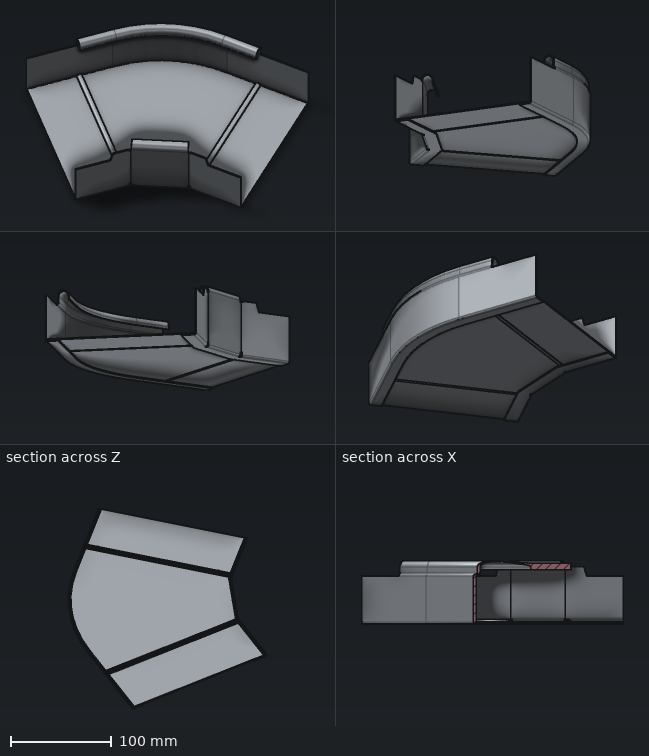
import cadquery as cq
import math


LENGTH_Y = 260.2
BEND_ANGLE = 45.0
OUTER_RADIUS = 150.2
TRAY_WIDTH = 153.3
SHEET = 1.25
FOLD_RADIUS = 2.5

WALL_HEIGHT = 48.0
OVERALL_HEIGHT = 63.0
OUTER_FLANGE = 13.3
INNER_FLANGE = 15.0

ROLL_RADIUS = 6.0
LIP_DROP = 3.0
RIM_INSET = 1.5
JOGGLE_HEIGHT = 3.0
RIM_SETBACK = 52.0

INNER_ARM = 57.5
TAB_FOOT = 36.5
TAB_SHOULDER = 39.3
RIM_GAP = 0.8
LOWER_NOTCH_SIDE = 1.0
LOWER_NOTCH_HEIGHT = 4.7
UPPER_NOTCH_SIDE = 1.5
UPPER_NOTCH_DEPTH = 1.3

BEAD_WIDTH = 5.7
BEAD_HEIGHT = 2.0

SIN_BEND = math.sin(math.radians(BEND_ANGLE))
ARM_LENGTH = (LENGTH_Y - OUTER_RADIUS * SIN_BEND) / (1 + SIN_BEND)
ROLL_Z = OVERALL_HEIGHT - ROLL_RADIUS
INNER_FACE_X = TRAY_WIDTH - OUTER_RADIUS
PANEL_CORNER = (INNER_FACE_X, INNER_ARM - ARM_LENGTH)
PANEL_TURN = math.radians(BEND_ANGLE / 2)
MIRROR_ANGLE = math.radians(180 - BEND_ANGLE / 2)
MIRROR_NORMAL = (math.sin(MIRROR_ANGLE), -math.cos(MIRROR_ANGLE), 0)


def mirrored(point):
    """Reflect a plan point in the symmetry line of the bend."""
    x, y = point
    cos2 = math.cos(2 * MIRROR_ANGLE)
    sin2 = math.sin(2 * MIRROR_ANGLE)
    return (x * cos2 + y * sin2, x * sin2 - y * cos2)


def on_symmetry_line(radius):
    return (radius * math.cos(MIRROR_ANGLE), radius * math.sin(MIRROR_ANGLE))


def section_plane(point, inward):
    """Upright plane whose local x runs into the tray from a wall's outer face; local y is Z."""
    inward = cq.Vector(*inward, 0)
    return cq.Workplane(cq.Plane((*point, 0), inward, inward.cross(cq.Vector(0, 0, 1))))


def wall_section(plane, flange, height):
    """Upright wall folded into a bottom flange."""
    inside = FOLD_RADIUS - SHEET
    return (
        plane.moveTo(flange, 0)
        .lineTo(FOLD_RADIUS, 0)
        .radiusArc((0, FOLD_RADIUS), FOLD_RADIUS)
        .lineTo(0, height)
        .lineTo(SHEET, height)
        .lineTo(SHEET, FOLD_RADIUS)
        .radiusArc((FOLD_RADIUS, SHEET), -inside)
        .lineTo(flange, SHEET)
        .close()
    )


def rim_section(plane, face):
    """Rolled rim with a straight lip, standing on a wall whose outer face is at `face`."""
    middle = face + ROLL_RADIUS
    far = middle + ROLL_RADIUS
    return (
        plane.moveTo(face, ROLL_Z)
        .threePointArc((middle, OVERALL_HEIGHT), (far, ROLL_Z))
        .lineTo(far, ROLL_Z - LIP_DROP)
        .lineTo(far - SHEET, ROLL_Z - LIP_DROP)
        .lineTo(far - SHEET, ROLL_Z)
        .threePointArc((middle, OVERALL_HEIGHT - SHEET), (face + SHEET, ROLL_Z))
        .close()
    )


def joggle_section(plane):
    """S-bend that steps inward, then a straight run up to the rolled rim."""
    bend_angle = 2 * math.atan2(RIM_INSET, JOGGLE_HEIGHT)
    rise = math.sin(bend_angle)
    run = 1 - math.cos(bend_angle)
    large = (JOGGLE_HEIGHT / rise + SHEET) / 2
    small = large - SHEET
    top = WALL_HEIGHT + JOGGLE_HEIGHT
    return (
        plane.moveTo(0, WALL_HEIGHT)
        .radiusArc((large * run, WALL_HEIGHT + large * rise), large)
        .radiusArc((RIM_INSET, top), -small)
        .lineTo(RIM_INSET, ROLL_Z)
        .lineTo(RIM_INSET + SHEET, ROLL_Z)
        .lineTo(RIM_INSET + SHEET, top)
        .radiusArc((SHEET + small * run, WALL_HEIGHT + small * rise), large)
        .radiusArc((SHEET, WALL_HEIGHT), -small)
        .close()
    )


def make_outer_wall():
    def path(setback):
        start = (-OUTER_RADIUS, setback - ARM_LENGTH)
        tangent = (-OUTER_RADIUS, 0)
        return (
            cq.Workplane()
            .moveTo(*start)
            .lineTo(*tangent)
            .threePointArc(on_symmetry_line(OUTER_RADIUS), mirrored(tangent))
            .lineTo(*mirrored(start))
        )

    def start_plane(setback):
        return section_plane((-OUTER_RADIUS, setback - ARM_LENGTH), (1, 0))

    wall = wall_section(start_plane(0), OUTER_FLANGE, WALL_HEIGHT).sweep(path(0))
    joggle = joggle_section(start_plane(RIM_SETBACK)).sweep(path(RIM_SETBACK))
    rim = rim_section(start_plane(RIM_SETBACK), RIM_INSET).sweep(path(RIM_SETBACK))
    return wall.union(joggle).union(rim)


def arm_end_cut():
    """Material above the wall height between the tray end and the tab's slope."""
    return (
        cq.Workplane("YZ", origin=(INNER_FACE_X - SHEET, -ARM_LENGTH, 0))
        .moveTo(0, WALL_HEIGHT)
        .lineTo(TAB_FOOT, WALL_HEIGHT)
        .lineTo(TAB_SHOULDER, ROLL_Z)
        .lineTo(0, ROLL_Z)
        .close()
        .extrude(SHEET)
    )


def corner_notch(bottom, top, on_arm, on_panel):
    """Relief through wall and fold at the corner, reaching `on_arm` and `on_panel` along the wall."""
    return (
        cq.Workplane()
        .box(2 * FOLD_RADIUS, on_arm + on_panel, top - bottom, centered=(True, False, False))
        .translate((0, -on_arm, bottom))
        .rotate((0, 0, 0), (0, 0, 1), -math.degrees(PANEL_TURN) / 2)
        .translate((*PANEL_CORNER, 0))
    )


def make_inner_wall():
    start = (INNER_FACE_X, -ARM_LENGTH)
    path = cq.Workplane().polyline([start, PANEL_CORNER, mirrored(PANEL_CORNER), mirrored(start)])
    section = wall_section(section_plane(start, (-1, 0)), INNER_FLANGE, ROLL_Z)
    wall = section.sweep(path, transition="right")

    along = (math.sin(PANEL_TURN), math.cos(PANEL_TURN))
    inward = (-along[1], along[0])
    rim_start = (PANEL_CORNER[0] + RIM_GAP * along[0], PANEL_CORNER[1] + RIM_GAP * along[1])
    rim_length = math.dist(PANEL_CORNER, mirrored(PANEL_CORNER)) - 2 * RIM_GAP
    wall = wall.union(rim_section(section_plane(rim_start, inward), 0).extrude(rim_length))

    lower_notch = corner_notch(0, LOWER_NOTCH_HEIGHT, LOWER_NOTCH_SIDE, LOWER_NOTCH_SIDE)
    upper_notch = corner_notch(ROLL_Z - UPPER_NOTCH_DEPTH, ROLL_Z, UPPER_NOTCH_SIDE, RIM_GAP)
    for cutter in (arm_end_cut(), lower_notch, upper_notch):
        wall = wall.cut(cutter).cut(cutter.mirror(MIRROR_NORMAL))
    return wall


def floor_bead():
    """Pressed bead across an arm: the raised ridge and the groove on its underside."""
    top = 2 * SHEET
    length = TRAY_WIDTH - 2 * FOLD_RADIUS
    ridge_radius = ((BEAD_WIDTH / 2) ** 2 + BEAD_HEIGHT**2) / (2 * BEAD_HEIGHT)
    centre_z = top + BEAD_HEIGHT - ridge_radius
    plane = cq.Workplane(
        "YZ", origin=(FOLD_RADIUS - OUTER_RADIUS, RIM_SETBACK + BEAD_WIDTH / 2 - ARM_LENGTH, 0)
    )
    ridge = (
        plane.moveTo(-BEAD_WIDTH / 2, top)
        .threePointArc((0, top + BEAD_HEIGHT), (BEAD_WIDTH / 2, top))
        .close()
        .extrude(length)
    )
    groove = plane.center(0, centre_z).circle(ridge_radius - SHEET).extrude(length)
    return ridge, groove


def make_floor():
    """Flat plate on the flanges, clear of the folds, with a bead across each arm."""
    outer_x = FOLD_RADIUS - OUTER_RADIUS
    inner_x = INNER_FACE_X - FOLD_RADIUS
    tangent = (outer_x, 0)
    outer_end = (outer_x, -ARM_LENGTH)
    inner_end = (inner_x, -ARM_LENGTH)
    corner = (inner_x, PANEL_CORNER[1] + FOLD_RADIUS * math.tan(PANEL_TURN / 2))
    floor = (
        cq.Workplane(origin=(0, 0, SHEET))
        .moveTo(*outer_end)
        .lineTo(*tangent)
        .threePointArc(on_symmetry_line(OUTER_RADIUS - FOLD_RADIUS), mirrored(tangent))
        .lineTo(*mirrored(outer_end))
        .lineTo(*mirrored(inner_end))
        .lineTo(*mirrored(corner))
        .lineTo(*corner)
        .lineTo(*inner_end)
        .close()
        .extrude(SHEET)
    )
    ridge, groove = floor_bead()
    floor = floor.union(ridge).union(ridge.mirror(MIRROR_NORMAL))
    return floor.cut(groove).cut(groove.mirror(MIRROR_NORMAL))


outer_wall = make_outer_wall()
inner_wall = make_inner_wall()
floor_plate = make_floor()

result = cq.Compound.makeCompound([
    outer_wall.solids().val(),
    inner_wall.solids().val(),
    floor_plate.solids().val(),
])